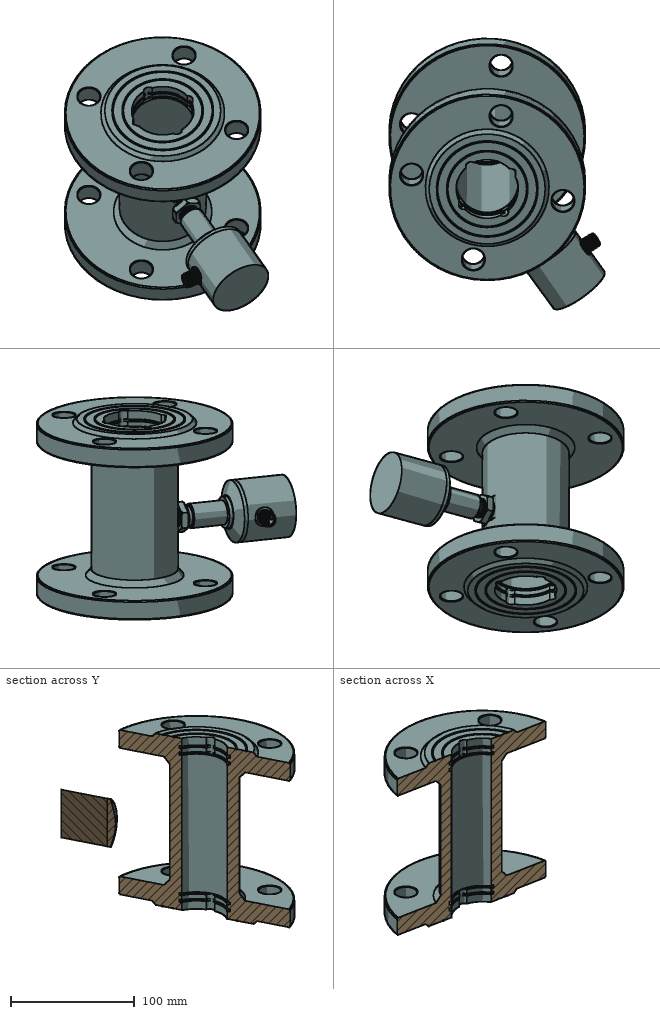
import cadquery as cq
import math

PIPE_LENGTH = 150.0
PIPE_RADIUS = 35.0
BORE_RADIUS = 25.0
FLANGE_RADIUS = 79.3
FLANGE_THICKNESS = 16.2
FLANGE_CHAMFER = 1.0
RAISED_FACE_RADIUS = 50.0
RAISED_FACE_HEIGHT = 3.1
WELD_RADIUS = 39.6
WELD_HEIGHT = 5.2
BOLT_CIRCLE_RADIUS = 62.0
BOLT_HOLE_RADIUS = 9.0
BOLT_HOLE_CHAMFER = 0.52
BOLT_COUNT = 4
SEAL_GROOVE_RADII = (32.3, 40.5)
SEAL_GROOVE_SECTION_RADIUS = 0.52
KEY_SLOT_RADIUS = 4.2
KEY_SLOT_OFFSET = 23.0
KEY_SLOT_DEPTH = 14.9
KEY_SLOT_COUNT = 4
BORE_GROOVE_RADIUS = 27.0
BORE_GROOVE_WIDTH = 1.9
BORE_GROOVE_ENDS = (9.0, KEY_SLOT_DEPTH)

TOP_Z = PIPE_LENGTH / 2
FLANGE_TOP_Z = TOP_Z - RAISED_FACE_HEIGHT
FLANGE_BOTTOM_Z = FLANGE_TOP_Z - FLANGE_THICKNESS

SENSOR_Z = -11.1
THREAD_PITCH = 1.0
THREAD_RIDGE_WIDTH = 0.92
THREAD_OVERLAP = 0.1
FLAT_X = 34.0
FLAT_HEIGHT = 20.1
STUD_START_X = 29.4
STUD_THREAD_END_X = 44.7
STUD_ROOT_RADIUS = 15.0 / 2
STUD_RADIUS = 15.7 / 2
SLEEVE_START_X = 47.5
SLEEVE_RADIUS = 10.0
SLEEVE_CHAMFER = 0.6
NUT_START_X = 36.5
NUT_SIDES = 6
NUT_THICKNESS = 5.9
NUT_CORNER_RADIUS = 12.8
NUT_CHAMFER = 0.8
WASHER_START_X = 77.5
WASHER_RADIUS = 12.8
BASE_START_X = 80.5
CONE_START_RADIUS = 13.8
CONE_END_X = 85.4
COVER_START_X = 88.5
COVER_END_X = 130.5
HOUSING_RADIUS = 51.0 / 2

CONNECTOR_X = 102.8
SEAT_RADIUS = 15.7 / 2
SEAT_Y = -24.1
CONNECTOR_END_Y = -36.3
CONNECTOR_THREAD_END_Y = -35.2
CONNECTOR_ROOT_RADIUS = 5.5
CONNECTOR_RADIUS = 12.0 / 2
SHELL_BORE_RADIUS = 9.9 / 2
INSERT_RECESS = 1.0
SOCKET_RADIUS = 4.2
SOCKET_DEPTH = 8.4
KEY_RADIUS = 0.6
PIN_RADIUS = 0.5
PIN_LENGTH = 7.3
PIN_CIRCLE_RADIUS = 5.2 / 2
OUTER_PIN_COUNT = 4

SENSOR_PLANE = cq.Plane(origin=(0, 0, SENSOR_Z), xDir=(0, 1, 0), normal=(1, 0, 0))
CONNECTOR_PLANE = cq.Plane(origin=(CONNECTOR_X, 0, SENSOR_Z), xDir=(1, 0, 0), normal=(0, -1, 0))


def disc(plane, start, end, radius):
    """Cylinder about the plane's normal, between two distances along it."""
    return cq.Workplane(plane).workplane(offset=start).circle(radius).extrude(end - start)


def turned(plane, profile):
    """Solid of revolution about the plane's normal, from (radius, distance) points."""
    side = cq.Plane(origin=plane.origin, xDir=plane.xDir, normal=-plane.yDir)
    return cq.Workplane(side).polyline(profile).close().revolve(360, (0, 0, 0), (0, 1, 0))


def threaded_rod(plane, start, end, root_radius, crest_radius):
    """Rod with a V-shaped helical thread ridge that runs from end to end."""
    half_width = THREAD_RIDGE_WIDTH / 2
    base_radius = root_radius - THREAD_OVERLAP
    path = cq.Wire.makeHelix(THREAD_PITCH, end - start - THREAD_RIDGE_WIDTH, root_radius)
    ridge = (
        cq.Workplane("XZ")
        .polyline([(base_radius, -half_width), (crest_radius, 0), (base_radius, half_width)])
        .close()
        .sweep(cq.Workplane(path), isFrenet=True)
    )
    ridge_start = plane.zDir * (start + half_width)
    placed_ridge = ridge.val().moved(cq.Location(plane)).moved(cq.Location(ridge_start))
    return disc(plane, start, end, root_radius).union(cq.Workplane(placed_ridge))


def polar_points(count, radius, first_angle):
    """Points evenly spaced on a circle."""
    angles = [math.radians(first_angle + i * 360 / count) for i in range(count)]
    return [(radius * math.cos(a), radius * math.sin(a)) for a in angles]


def both_ends(cutter):
    """A cutter for the upper flange together with its mirror image for the lower one."""
    return cutter.union(cutter.mirror("XY"))


def make_pipe_blank():
    """Pipe with a conical weld neck, a flange and a raised face at each end."""
    outline = [
        (PIPE_RADIUS, FLANGE_BOTTOM_Z - WELD_HEIGHT),
        (WELD_RADIUS, FLANGE_BOTTOM_Z),
        (FLANGE_RADIUS - FLANGE_CHAMFER, FLANGE_BOTTOM_Z),
        (FLANGE_RADIUS, FLANGE_BOTTOM_Z + FLANGE_CHAMFER),
        (FLANGE_RADIUS, FLANGE_TOP_Z - FLANGE_CHAMFER),
        (FLANGE_RADIUS - FLANGE_CHAMFER, FLANGE_TOP_Z),
        (RAISED_FACE_RADIUS, FLANGE_TOP_Z),
        (RAISED_FACE_RADIUS - RAISED_FACE_HEIGHT, TOP_Z),
        (BORE_RADIUS, TOP_Z),
    ]
    lower_outline = [(radius, -z) for radius, z in reversed(outline)]
    return turned(cq.Plane.XY(), lower_outline + outline)


def make_bolt_hole():
    """Cutter for one bolt hole of the upper flange, chamfered at both ends."""
    mouth_radius = BOLT_HOLE_RADIUS + BOLT_HOLE_CHAMFER
    return turned(cq.Plane.XY(), [
        (0, FLANGE_BOTTOM_Z),
        (mouth_radius, FLANGE_BOTTOM_Z),
        (BOLT_HOLE_RADIUS, FLANGE_BOTTOM_Z + BOLT_HOLE_CHAMFER),
        (BOLT_HOLE_RADIUS, FLANGE_TOP_Z - BOLT_HOLE_CHAMFER),
        (mouth_radius, FLANGE_TOP_Z),
        (0, FLANGE_TOP_Z),
    ])


def make_pipe():
    """Pipe with two mirrored flanges, and a flat with a blind hole for the sensor stud."""
    pipe = make_pipe_blank()

    bolt_hole = both_ends(make_bolt_hole())
    for x, y in polar_points(BOLT_COUNT, BOLT_CIRCLE_RADIUS, 180 / BOLT_COUNT):
        pipe = pipe.cut(bolt_hole.translate((x, y, 0)))

    for radius in SEAL_GROOVE_RADII:
        seal_groove = cq.Workplane(cq.Solid.makeTorus(radius, SEAL_GROOVE_SECTION_RADIUS))
        pipe = pipe.cut(both_ends(seal_groove.translate((0, 0, TOP_Z))))

    key_slot_z = TOP_Z - KEY_SLOT_DEPTH
    key_slots = (
        cq.Workplane("XY", origin=(0, 0, key_slot_z))
        .pushPoints(polar_points(KEY_SLOT_COUNT, KEY_SLOT_OFFSET, 0))
        .circle(KEY_SLOT_RADIUS)
        .extrude(KEY_SLOT_DEPTH)
    )
    pipe = pipe.cut(both_ends(key_slots))
    for depth in BORE_GROOVE_ENDS:
        groove_z = TOP_Z - depth
        bore_groove = disc(cq.Plane.XY(), groove_z, groove_z + BORE_GROOVE_WIDTH, BORE_GROOVE_RADIUS)
        pipe = pipe.cut(both_ends(bore_groove))

    flat = (
        cq.Workplane(SENSOR_PLANE)
        .workplane(offset=FLAT_X)
        .rect(2 * PIPE_RADIUS, FLAT_HEIGHT)
        .extrude(PIPE_RADIUS)
    )
    pipe = pipe.cut(flat)
    return pipe.cut(disc(SENSOR_PLANE, STUD_START_X, FLAT_X, STUD_RADIUS))


def make_stem():
    """Threaded stud, plain neck and chamfered sleeve in one piece."""
    stud = threaded_rod(SENSOR_PLANE, STUD_START_X, STUD_THREAD_END_X, STUD_ROOT_RADIUS, STUD_RADIUS)
    neck = disc(SENSOR_PLANE, STUD_THREAD_END_X, SLEEVE_START_X, STUD_RADIUS)
    sleeve = disc(SENSOR_PLANE, SLEEVE_START_X, WASHER_START_X, SLEEVE_RADIUS)
    sleeve = sleeve.faces("<X or >X").chamfer(SLEEVE_CHAMFER)
    return stud.union(neck).union(sleeve)


def make_nut():
    """Hexagonal lock nut with two corners along Z and its corners turned off."""
    end_x = NUT_START_X + NUT_THICKNESS
    blank = (
        cq.Workplane(SENSOR_PLANE)
        .workplane(offset=NUT_START_X)
        .transformed(rotate=(0, 0, 90))
        .polygon(NUT_SIDES, 2 * NUT_CORNER_RADIUS)
        .extrude(NUT_THICKNESS)
    )
    envelope = disc(SENSOR_PLANE, NUT_START_X, end_x, NUT_CORNER_RADIUS)
    envelope = envelope.faces("<X or >X").chamfer(NUT_CHAMFER)
    return blank.intersect(envelope).cut(disc(SENSOR_PLANE, NUT_START_X, end_x, STUD_RADIUS))


def make_washer():
    """Seal washer between the sleeve and the housing."""
    return disc(SENSOR_PLANE, WASHER_START_X, BASE_START_X, WASHER_RADIUS)


def make_base():
    """Conical housing base with a short cylindrical rim."""
    return turned(SENSOR_PLANE, [
        (0, BASE_START_X),
        (CONE_START_RADIUS, BASE_START_X),
        (HOUSING_RADIUS, CONE_END_X),
        (HOUSING_RADIUS, COVER_START_X),
        (0, COVER_START_X),
    ])


def make_cover():
    """Cylindrical housing cover with a flat round seat for the connector."""
    cover = disc(SENSOR_PLANE, COVER_START_X, COVER_END_X, HOUSING_RADIUS)
    return cover.cut(disc(CONNECTOR_PLANE, -SEAT_Y, HOUSING_RADIUS, SEAT_RADIUS))


def make_connector_shell():
    """Threaded connector sleeve with a plain tip."""
    thread = threaded_rod(
        CONNECTOR_PLANE, -SEAT_Y, -CONNECTOR_THREAD_END_Y, CONNECTOR_ROOT_RADIUS, CONNECTOR_RADIUS
    )
    tip = disc(CONNECTOR_PLANE, -CONNECTOR_THREAD_END_Y, -CONNECTOR_END_Y, CONNECTOR_ROOT_RADIUS)
    return thread.union(tip).cut(disc(CONNECTOR_PLANE, -SEAT_Y, -CONNECTOR_END_Y, SHELL_BORE_RADIUS))


def make_connector_insert():
    """Insulating insert with a keyed round socket and its contact pins."""
    face = -CONNECTOR_END_Y - INSERT_RECESS
    floor = face - SOCKET_DEPTH
    insert = disc(CONNECTOR_PLANE, -SEAT_Y, face, SHELL_BORE_RADIUS)
    insert = insert.cut(disc(CONNECTOR_PLANE, floor, face, SOCKET_RADIUS))
    key = disc(CONNECTOR_PLANE, floor, face, KEY_RADIUS).translate((0, 0, -SOCKET_RADIUS))
    pins = (
        cq.Workplane(CONNECTOR_PLANE)
        .workplane(offset=floor)
        .pushPoints([(0, 0)] + polar_points(OUTER_PIN_COUNT, PIN_CIRCLE_RADIUS, 0))
        .circle(PIN_RADIUS)
        .extrude(PIN_LENGTH)
    )
    return insert.union(key).union(pins)


pipe = make_pipe()
stem = make_stem()
nut = make_nut()
washer = make_washer()
base = make_base()
cover = make_cover()
connector_shell = make_connector_shell()
connector_insert = make_connector_insert()

result = cq.Compound.makeCompound([
    pipe.val(),
    stem.val(),
    nut.val(),
    washer.val(),
    base.val(),
    cover.val(),
    connector_shell.val(),
    connector_insert.val(),
])